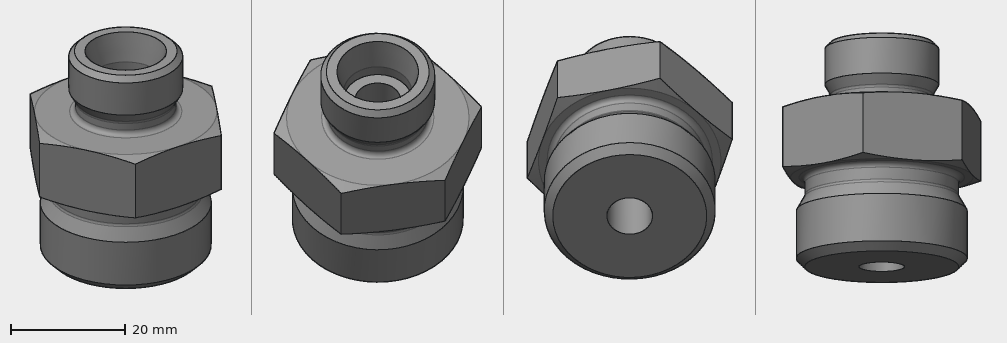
import cadquery as cq
import math

length = 40.0
hex_bottom = 16.0
hex_top = 28.0
hex_flats = 32.0
hex_bevel_angle = 15.0

lower_radius = 30.0 / 2
lower_neck_radius = 27.0 / 2
lower_shoulder = 10.0
lower_chamfer = lower_radius - lower_neck_radius
upper_radius = 20.0 / 2
upper_neck_radius = 17.7 / 2
upper_shoulder = 32.6
upper_chamfer = 1.0

neck_fillet = 1.0
neck_cone_angle = 30.0

bore_diameter = 8.0
socket_diameter = 12.0
socket_depth = 7.4
mouth_diameter = 14.3
seat_half_angle = 12.0


def hexagon():
    """Grip centred on Z, both ends bevelled down to the across-flats circle."""
    corner_diameter = hex_flats / math.cos(math.radians(30))
    prism = (
        cq.Workplane("XY")
        .workplane(offset=hex_bottom)
        .polygon(6, corner_diameter)
        .extrude(hex_top - hex_bottom)
        .rotate((0, 0, 0), (0, 0, 1), 30)
    )
    flat_radius = hex_flats / 2
    corner_radius = corner_diameter / 2
    bevel = (corner_radius - flat_radius) * math.tan(math.radians(hex_bevel_angle))
    envelope = (
        cq.Workplane("XZ")
        .moveTo(0, hex_bottom)
        .lineTo(flat_radius, hex_bottom)
        .lineTo(corner_radius, hex_bottom + bevel)
        .lineTo(corner_radius, hex_top - bevel)
        .lineTo(flat_radius, hex_top)
        .lineTo(0, hex_top)
        .close()
        .revolve(360, (0, 0), (0, 1))
    )
    return prism.intersect(envelope)


def stud(root, tip, shoulder, radius, neck_radius, chamfer):
    """Turned stud along Z from its root on the hexagon to its chamfered tip."""
    outward = math.copysign(1, tip - root)
    angle = math.radians(neck_cone_angle)
    cone_length = (radius - neck_radius) / math.tan(angle)
    neck_corner = shoulder - outward * cone_length

    bend_centre_x = neck_radius + neck_fillet
    bend_start = neck_corner - outward * neck_fillet * math.tan(angle / 2)

    def bend_point(turn):
        return (
            bend_centre_x - neck_fillet * math.cos(turn),
            bend_start + outward * neck_fillet * math.sin(turn),
        )

    root_arc_offset = neck_fillet * (1 - math.sqrt(0.5))
    root_middle = (neck_radius + root_arc_offset, root + outward * root_arc_offset)

    return (
        cq.Workplane("XZ")
        .moveTo(0, root)
        .lineTo(neck_radius + neck_fillet, root)
        .threePointArc(root_middle, (neck_radius, root + outward * neck_fillet))
        .lineTo(neck_radius, bend_start)
        .threePointArc(bend_point(angle / 2), bend_point(angle))
        .lineTo(radius, shoulder)
        .lineTo(radius, tip - outward * chamfer)
        .lineTo(radius - chamfer, tip)
        .lineTo(0, tip)
        .close()
        .revolve(360, (0, 0), (0, 1))
    )


def bore():
    """Through bore opening at the top into a socket and a conical seat."""
    socket_radius = socket_diameter / 2
    mouth_radius = mouth_diameter / 2
    seat_depth = (mouth_radius - socket_radius) / math.tan(math.radians(seat_half_angle))
    return (
        cq.Workplane("XZ")
        .lineTo(bore_diameter / 2, 0)
        .lineTo(bore_diameter / 2, length - socket_depth)
        .lineTo(socket_radius, length - socket_depth)
        .lineTo(socket_radius, length - seat_depth)
        .lineTo(mouth_radius, length)
        .lineTo(0, length)
        .close()
        .revolve(360, (0, 0), (0, 1))
    )


lower_stud = stud(hex_bottom, 0, lower_shoulder, lower_radius, lower_neck_radius, lower_chamfer)
upper_stud = stud(hex_top, length, upper_shoulder, upper_radius, upper_neck_radius, upper_chamfer)
result = hexagon().union(lower_stud).union(upper_stud).cut(bore())